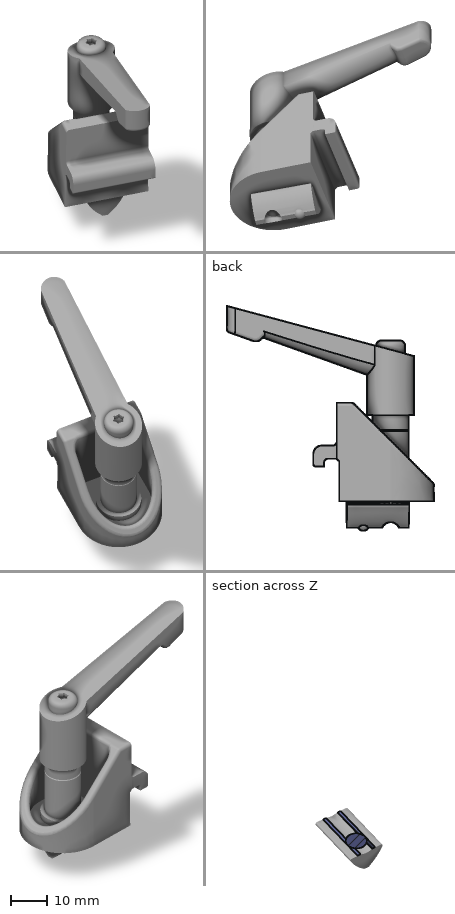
import cadquery as cq
import math

ARC_MIDDLE = math.sqrt(0.5)


BASE_RADIUS = 12.0
OUTER_DRAFT = 0.4
HOUSING_HEIGHT = 27.15
FRONT_HEIGHT = 4.75
BACK_X = 14.85
LOWER_BACK_X = 14.15
RIM_FILLET = 1.0
CLEARANCE_HOLE_DIAMETER = 7.0
SLOPE_RISE = HOUSING_HEIGHT - FRONT_HEIGHT
SLOPE_TOP_X = SLOPE_RISE - BASE_RADIUS
SLOPE_AXIS_Z = FRONT_HEIGHT + BASE_RADIUS

CAVITY_FLOOR_Z = 4.45
CAVITY_RADIUS = 9.1
CAVITY_BACK_X = 9.9
CAVITY_CORNER_RADIUS = 2.1
CAVITY_DRAFT = 0.5

HOOK_HALF_WIDTH = 11.8
HOOK_END_X = 21.3
HOOK_TOP_Z = 15.4
HOOK_UNDERSIDE_Z = 11.7
HOOK_TIP_Z = 9.6
HOOK_TIP_INNER_X = 18.25
HOOK_OUTER_RADIUS = 2.5
HOOK_TIP_RADIUS = 0.7
HOOK_ROOT_RADIUS = 1.0
STEP_CHAMFER = BACK_X - LOWER_BACK_X

COLUMN_DIAMETER = 10.0
FLANGE_DIAMETER = 12.5
FLANGE_THICKNESS = 2.0
BUSH_BORE_DIAMETER = 6.1
BUSH_TOP_Z = 19.65
BUSH_CHAMFER = 0.4

HUB_DIAMETER = 13.0
HUB_BOTTOM_Z = 23.7
TOP_PLANE_ANGLE = 15.0
TOP_PLANE_AXIS_Z = 41.7
STUD_DIAMETER = 6.0
STUD_END_Z = -3.7
HEAD_DIAMETER = 8.05
HEAD_FLAT_DIAMETER = 4.9
HEAD_TOP_Z = 44.3
ARM_END_X = 45.0
ARM_SIDE_END_X = 42.7
ARM_ROOT_X = 4.2
ARM_ROOT_HALF_WIDTH = 4.8
ARM_END_HALF_WIDTH = 3.6
ARM_BELLY_RADIUS = 5.15
ARM_BELLY_ANGLE = 19.7
ARM_BELLY_START_Z = 34.75
GRIP_START_X = 34.65
GRIP_LOW_START_X = 36.2
GRIP_LOW_END_X = 37.55
GRIP_LOW_Z = 44.0
GRIP_NOSE_RADIUS = 1.55
GRIP_EDGE_RADIUS = 1.0

SOCKET_CORE_RADIUS = 1.3
SOCKET_LOBE_RADIUS = 0.3
SOCKET_LOBE_COUNT = 6
SOCKET_DEPTH = 1.55
SOCKET_CONE_DEPTH = 0.75

NUT_START_X = -5.0
NUT_END_X = 12.05
NUT_YAW = 1.5
RIB_TOP_Z = -0.4
RIB_HALF_WIDTH = 2.95
RIB_GROOVE_HALF_WIDTH = 2.6
RIB_GROOVE_DEPTH = 0.9
WING_TOP_Z = -0.85
WING_BOTTOM_Z = -1.75
WING_HALF_WIDTH = 5.3
WING_TOP_HALF_WIDTH = 4.95
WING_MIDDLE_Z = -1.3
WING_BOTTOM_HALF_WIDTH = 5.25
FLANK_MIDDLE = (3.45, -4.6)
KEEL_HALF_WIDTH = 1.2
KEEL_CHAMFER = 0.4
NUT_BOTTOM_Z = -7.25
NUT_HOLE_DIAMETER = 4.9
BALL_X = 7.5
BALL_RADIUS = 1.6
BALL_LOWEST_Z = -8.1


def disc(diameter, bottom_z, top_z):
    """Solid cylinder about the Z axis."""
    return cq.Workplane("XY").workplane(offset=bottom_z).circle(diameter / 2).extrude(top_z - bottom_z)


def housing_side_profile():
    """Side outline of the housing: sloped front and stepped back."""
    return (
        cq.Workplane("XZ")
        .moveTo(-BASE_RADIUS, 0)
        .lineTo(-BASE_RADIUS, FRONT_HEIGHT)
        .lineTo(SLOPE_TOP_X, HOUSING_HEIGHT)
        .lineTo(BACK_X, HOUSING_HEIGHT)
        .lineTo(BACK_X, HOOK_UNDERSIDE_Z)
        .lineTo(LOWER_BACK_X, HOOK_UNDERSIDE_Z - STEP_CHAMFER)
        .lineTo(LOWER_BACK_X, 0)
        .close()
    )


def make_hook():
    """Undrafted hook along the back of the housing, with a fillet above its root."""
    outer_center_x = HOOK_END_X - HOOK_OUTER_RADIUS
    outer_center_z = HOOK_TOP_Z - HOOK_OUTER_RADIUS
    tip_center_x = HOOK_END_X - HOOK_TIP_RADIUS
    tip_center_z = HOOK_TIP_Z + HOOK_TIP_RADIUS
    throat_center_x = HOOK_TIP_INNER_X - HOOK_ROOT_RADIUS
    throat_center_z = HOOK_UNDERSIDE_Z - HOOK_ROOT_RADIUS
    root_center_x = BACK_X + HOOK_ROOT_RADIUS
    root_center_z = HOOK_TOP_Z + HOOK_ROOT_RADIUS
    root_offset = ARC_MIDDLE * HOOK_ROOT_RADIUS
    outer_offset = ARC_MIDDLE * HOOK_OUTER_RADIUS
    tip_offset = ARC_MIDDLE * HOOK_TIP_RADIUS
    profile = (
        cq.Workplane("XZ")
        .moveTo(BACK_X, root_center_z)
        .threePointArc(
            (root_center_x - root_offset, root_center_z - root_offset),
            (root_center_x, HOOK_TOP_Z),
        )
        .lineTo(outer_center_x, HOOK_TOP_Z)
        .threePointArc(
            (outer_center_x + outer_offset, outer_center_z + outer_offset),
            (HOOK_END_X, outer_center_z),
        )
        .lineTo(HOOK_END_X, tip_center_z)
        .threePointArc(
            (tip_center_x + tip_offset, tip_center_z - tip_offset),
            (tip_center_x, HOOK_TIP_Z),
        )
        .lineTo(HOOK_TIP_INNER_X, HOOK_TIP_Z)
        .lineTo(HOOK_TIP_INNER_X, throat_center_z)
        .threePointArc(
            (throat_center_x + root_offset, throat_center_z + root_offset),
            (throat_center_x, HOOK_UNDERSIDE_Z),
        )
        .lineTo(BACK_X, HOOK_UNDERSIDE_Z)
        .close()
    )
    return profile.extrude(HOOK_HALF_WIDTH, both=True)


def round_nosed_outline(radius, back_x, corner_radius=0):
    """Plan outline with a half-round -X end and a straight +X end."""
    outline = cq.Workplane("XY").moveTo(0, radius).threePointArc((-radius, 0), (0, -radius))
    if corner_radius == 0:
        return outline.lineTo(back_x, -radius).lineTo(back_x, radius).close()
    corner_x = back_x - corner_radius
    corner_y = radius - corner_radius
    bend = ARC_MIDDLE * corner_radius
    return (
        outline
        .lineTo(corner_x, -radius)
        .threePointArc((corner_x + bend, -corner_y - bend), (back_x, -corner_y))
        .lineTo(back_x, corner_y)
        .threePointArc((corner_x + bend, corner_y + bend), (corner_x, radius))
        .close()
    )


class SlopeRimSelector(cq.Selector):
    """Edges that lie on the sloped face within half_width of its centre line."""

    def __init__(self, half_width):
        self.half_width = half_width

    def filter(self, edges):
        def is_on_rim(edge):
            points = [edge.positionAt(t) for t in (0, 0.5, 1)]
            on_slope = all(abs(p.z - p.x - SLOPE_AXIS_Z) < 0.005 for p in points)
            return on_slope and all(abs(p.y) <= self.half_width for p in points)

        return [edge for edge in edges if is_on_rim(edge)]


def make_housing():
    drafted = (
        round_nosed_outline(BASE_RADIUS, 2 * BACK_X)
        .extrude(HOUSING_HEIGHT, taper=OUTER_DRAFT)
    )
    body = housing_side_profile().extrude(BASE_RADIUS, both=True).intersect(drafted)

    top_edges = body.faces(">Z").edges("not(|Y)")
    body = body.edges(SlopeRimSelector(BASE_RADIUS)).add(top_edges).fillet(RIM_FILLET)

    cavity = (
        round_nosed_outline(CAVITY_RADIUS, CAVITY_BACK_X, CAVITY_CORNER_RADIUS)
        .extrude(HOUSING_HEIGHT, taper=-CAVITY_DRAFT)
        .translate((0, 0, CAVITY_FLOOR_Z))
    )
    body = body.cut(cavity)
    body = body.edges(SlopeRimSelector(BASE_RADIUS - 2 * RIM_FILLET)).fillet(RIM_FILLET)

    clearance_hole = disc(CLEARANCE_HOLE_DIAMETER, 0, CAVITY_FLOOR_Z)
    return body.union(make_hook()).cut(clearance_hole)


def make_bush():
    flange_top = CAVITY_FLOOR_Z + FLANGE_THICKNESS
    column = disc(COLUMN_DIAMETER, CAVITY_FLOOR_Z, BUSH_TOP_Z).faces(">Z").chamfer(BUSH_CHAMFER)
    flange = disc(FLANGE_DIAMETER, CAVITY_FLOOR_Z, flange_top)
    return column.union(flange).cut(disc(BUSH_BORE_DIAMETER, CAVITY_FLOOR_Z, BUSH_TOP_Z))


def arm_plan(start_x):
    """Vertical prism of the tapering arm with its round end, from start_x outwards."""
    slope = (ARM_END_HALF_WIDTH - ARM_ROOT_HALF_WIDTH) / (ARM_SIDE_END_X - ARM_ROOT_X)
    start_half_width = ARM_ROOT_HALF_WIDTH + slope * (start_x - ARM_ROOT_X)
    return (
        cq.Workplane("XY")
        .moveTo(start_x, -start_half_width)
        .lineTo(ARM_SIDE_END_X, -ARM_END_HALF_WIDTH)
        .threePointArc((ARM_END_X, 0), (ARM_SIDE_END_X, ARM_END_HALF_WIDTH))
        .lineTo(start_x, start_half_width)
        .close()
        .extrude(2 * HEAD_TOP_Z)
    )


def make_arm():
    """Arm with a round belly that follows its rising underside."""
    rise = math.tan(math.radians(ARM_BELLY_ANGLE))
    belly_axis_offset = ARM_BELLY_RADIUS / math.cos(math.radians(ARM_BELLY_ANGLE))
    axis_z = ARM_BELLY_START_Z - rise * HUB_DIAMETER / 2 + belly_axis_offset
    section_plane = cq.Plane(origin=(0, 0, axis_z), xDir=(0, 1, 0), normal=(1, 0, rise))
    belly = (
        cq.Workplane(section_plane)
        .moveTo(-ARM_BELLY_RADIUS, 0)
        .threePointArc((0, -ARM_BELLY_RADIUS), (ARM_BELLY_RADIUS, 0))
        .lineTo(ARM_BELLY_RADIUS, HEAD_TOP_Z)
        .lineTo(-ARM_BELLY_RADIUS, HEAD_TOP_Z)
        .close()
        .extrude(2 * ARM_END_X)
    )
    return arm_plan(ARM_ROOT_X).intersect(belly)


def make_grip():
    """Thicker end of the arm, with rounded lower edges."""
    rise = math.tan(math.radians(ARM_BELLY_ANGLE))
    end_z = GRIP_LOW_Z + rise * (ARM_END_X - GRIP_LOW_END_X)
    start_z = GRIP_LOW_Z + GRIP_LOW_START_X - GRIP_START_X
    profile = (
        cq.Workplane("XZ")
        .moveTo(GRIP_START_X, start_z)
        .lineTo(GRIP_LOW_START_X, GRIP_LOW_Z)
        .lineTo(GRIP_LOW_END_X, GRIP_LOW_Z)
        .lineTo(ARM_END_X, end_z)
        .lineTo(ARM_END_X, 2 * HEAD_TOP_Z)
        .lineTo(GRIP_START_X, 2 * HEAD_TOP_Z)
        .close()
        .extrude(HUB_DIAMETER / 2, both=True)
        .edges(cq.selectors.NearestToPointSelector((GRIP_LOW_START_X, 0, GRIP_LOW_Z)))
        .fillet(GRIP_NOSE_RADIUS)
    )
    grip = arm_plan(GRIP_START_X).intersect(profile)
    return grip.edges("not(|Z or |Y or >Z)").fillet(GRIP_EDGE_RADIUS)


def top_cutter():
    """Everything above the tilted top plane of the lever."""
    rise = math.tan(math.radians(TOP_PLANE_ANGLE))
    plane = cq.Plane(origin=(0, 0, TOP_PLANE_AXIS_Z), xDir=(0, 1, 0), normal=(-rise, 0, 1))
    size = 4 * ARM_END_X
    return cq.Workplane(plane).rect(size, size).extrude(size)


def lever_socket():
    """Hexalobular socket with a conical bottom."""
    bottom_z = HEAD_TOP_Z - SOCKET_DEPTH
    socket = disc(2 * SOCKET_CORE_RADIUS, bottom_z, HEAD_TOP_Z)
    lobes = (
        cq.Workplane("XY")
        .workplane(offset=bottom_z)
        .polarArray(SOCKET_CORE_RADIUS, 90, 360, SOCKET_LOBE_COUNT)
        .circle(SOCKET_LOBE_RADIUS)
        .extrude(SOCKET_DEPTH)
    )
    cone = cq.Workplane(cq.Solid.makeCone(
        0, SOCKET_CORE_RADIUS, SOCKET_CONE_DEPTH, pnt=cq.Vector(0, 0, bottom_z - SOCKET_CONE_DEPTH)
    ))
    return socket.union(lobes).union(cone)


def make_lever():
    hub = disc(HUB_DIAMETER, HUB_BOTTOM_Z, HEAD_TOP_Z + HUB_DIAMETER)
    handle = hub.union(make_arm()).union(make_grip()).cut(top_cutter())
    collar = disc(COLUMN_DIAMETER, BUSH_TOP_Z, HUB_BOTTOM_Z)
    stud = disc(STUD_DIAMETER, STUD_END_Z, BUSH_TOP_Z)
    head = (
        disc(HEAD_DIAMETER, HUB_BOTTOM_Z, HEAD_TOP_Z)
        .faces(">Z").edges()
        .fillet((HEAD_DIAMETER - HEAD_FLAT_DIAMETER) / 2)
    )
    return handle.union(head).union(collar).union(stud).cut(lever_socket())


def make_nut():
    middle_y, middle_z = FLANK_MIDDLE
    length = NUT_END_X - NUT_START_X
    keel_top_z = NUT_BOTTOM_Z + KEEL_CHAMFER
    profile = (
        cq.Workplane("YZ", origin=(NUT_START_X, 0, 0))
        .moveTo(RIB_GROOVE_HALF_WIDTH, RIB_TOP_Z)
        .lineTo(RIB_HALF_WIDTH, RIB_TOP_Z)
        .lineTo(RIB_HALF_WIDTH, WING_TOP_Z)
        .lineTo(WING_TOP_HALF_WIDTH, WING_TOP_Z)
        .threePointArc((WING_HALF_WIDTH, WING_MIDDLE_Z), (WING_BOTTOM_HALF_WIDTH, WING_BOTTOM_Z))
        .threePointArc((middle_y, middle_z), (KEEL_HALF_WIDTH, keel_top_z))
        .lineTo(KEEL_HALF_WIDTH - KEEL_CHAMFER, NUT_BOTTOM_Z)
        .lineTo(-KEEL_HALF_WIDTH + KEEL_CHAMFER, NUT_BOTTOM_Z)
        .lineTo(-KEEL_HALF_WIDTH, keel_top_z)
        .threePointArc((-middle_y, middle_z), (-WING_BOTTOM_HALF_WIDTH, WING_BOTTOM_Z))
        .threePointArc((-WING_HALF_WIDTH, WING_MIDDLE_Z), (-WING_TOP_HALF_WIDTH, WING_TOP_Z))
        .lineTo(-RIB_HALF_WIDTH, WING_TOP_Z)
        .lineTo(-RIB_HALF_WIDTH, RIB_TOP_Z)
        .lineTo(-RIB_GROOVE_HALF_WIDTH, RIB_TOP_Z)
        .threePointArc((0, RIB_TOP_Z - RIB_GROOVE_DEPTH), (RIB_GROOVE_HALF_WIDTH, RIB_TOP_Z))
        .close()
    )
    ball = cq.Workplane("XY").sphere(BALL_RADIUS).translate((BALL_X, 0, BALL_LOWEST_Z + BALL_RADIUS))
    nut = profile.extrude(length).union(ball)
    nut = nut.cut(disc(STUD_DIAMETER, STUD_END_Z, 0)).cut(disc(NUT_HOLE_DIAMETER, NUT_BOTTOM_Z, 0))
    return nut.rotate((0, 0, 0), (0, 0, 1), NUT_YAW)


housing = make_housing()
bush = make_bush()
lever = make_lever()
nut = make_nut()

result = cq.Compound.makeCompound([housing.val(), bush.val(), lever.val(), nut.val()])